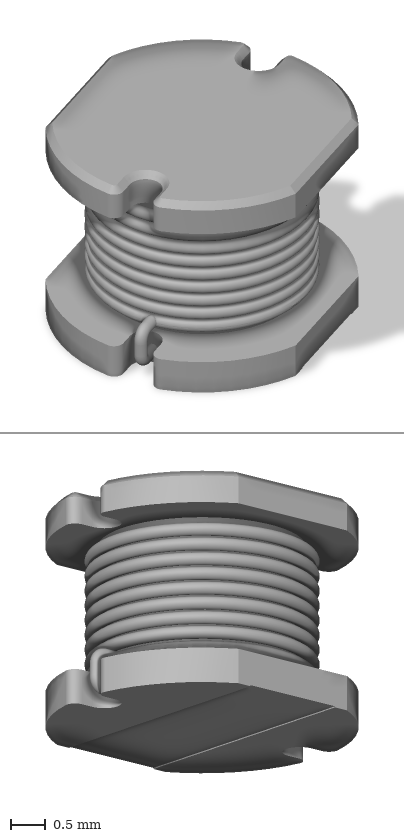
import cadquery as cq
import math

LENGTH = 4.42
WIDTH = 4.0
HEIGHT = 3.2
FLANGE_THICKNESS = 0.5
TOP_CHAMFER = 0.097
NOTCH_RADIUS = 0.248
NOTCH_CENTRE_Y = 1.848
LIP_RADIUS = 0.15

RELIEF_WIDTH = 1.6
RELIEF_DEPTH = 0.018

POST_RADIUS = 1.505
WIRE_RADIUS = 0.095
TURN_PITCH = 0.22
FREE_TURNS = 8
TERMINAL_TURN_Z = 0.725
TERMINAL_BITE = 0.005

LEAD_Y = 2.0
LEAD_BEND = 0.15
FOOT_Z = 0.215

lip_x = NOTCH_RADIUS + LIP_RADIUS
lip_y = LENGTH / 2 - LIP_RADIUS
rim_radius = LIP_RADIUS + math.hypot(lip_x, lip_y)
base_thickness = FLANGE_THICKNESS + RELIEF_DEPTH
top_flange_z = HEIGHT - FLANGE_THICKNESS
turn_radius = POST_RADIUS + WIRE_RADIUS
terminal_turn_radius = turn_radius - TERMINAL_BITE
foot_end_y = POST_RADIUS


def flange(bottom_z, thickness):
    """Plain flange with its two lipped notches, standing on bottom_z."""
    disc = cq.Workplane("XY").circle(rim_radius).extrude(thickness)
    flats = cq.Workplane("XY").rect(WIDTH, 2 * LENGTH).extrude(thickness)
    plate = disc.intersect(flats)
    for side in (1, -1):
        plate = plate.cut(notch(side, thickness))
    return plate.translate((0, 0, bottom_z))


def notch(side, depth):
    """Round-rooted notch that flares out tangentially onto the rim at the Y end given by side."""
    touch_scale = rim_radius / math.hypot(lip_x, lip_y)
    touch_x = lip_x * touch_scale
    touch_y = side * lip_y * touch_scale
    mid_angle = (math.pi + math.atan2(lip_y, lip_x)) / 2
    mid_x = lip_x + LIP_RADIUS * math.cos(mid_angle)
    mid_y = side * (lip_y + LIP_RADIUS * math.sin(mid_angle))
    wall_end_y = side * lip_y
    root_y = side * NOTCH_CENTRE_Y
    return (
        cq.Workplane("XY")
        .moveTo(touch_x, touch_y)
        .threePointArc((mid_x, mid_y), (NOTCH_RADIUS, wall_end_y))
        .lineTo(NOTCH_RADIUS, root_y)
        .threePointArc((0, root_y - side * NOTCH_RADIUS), (-NOTCH_RADIUS, root_y))
        .lineTo(-NOTCH_RADIUS, wall_end_y)
        .threePointArc((-mid_x, mid_y), (-touch_x, touch_y))
        .lineTo(-touch_x, side * LENGTH)
        .lineTo(touch_x, side * LENGTH)
        .close()
        .extrude(depth)
    )


def bobbin():
    """Two flanges on a round post, chamfered on top and relieved underneath."""
    top = flange(top_flange_z, FLANGE_THICKNESS).faces(">Z").chamfer(TOP_CHAMFER)
    relief = cq.Workplane("XY").rect(2 * WIDTH, RELIEF_WIDTH).extrude(RELIEF_DEPTH)
    bottom = flange(0, base_thickness).cut(relief)
    post = (
        cq.Workplane("XY")
        .workplane(offset=base_thickness)
        .circle(POST_RADIUS)
        .extrude(top_flange_z - base_thickness)
    )
    return bottom.union(post).union(top)


def wire_turn(centre_radius, centre_z):
    """One closed ring of wire around the post."""
    ring = cq.Solid.makeTorus(centre_radius, WIRE_RADIUS)
    return cq.Workplane("XY").add(ring.translate(cq.Vector(0, 0, centre_z)))


def lead():
    """Lead at the +Y end, from the terminal turn down to its foot in the lower flange."""
    corner = LEAD_BEND * (1 - math.sqrt(0.5))
    bend_y = LEAD_Y - LEAD_BEND
    path = (
        cq.Workplane("YZ")
        .moveTo(terminal_turn_radius, TERMINAL_TURN_Z)
        .lineTo(bend_y, TERMINAL_TURN_Z)
        .threePointArc((LEAD_Y - corner, TERMINAL_TURN_Z - corner), (LEAD_Y, TERMINAL_TURN_Z - LEAD_BEND))
        .lineTo(LEAD_Y, FOOT_Z + LEAD_BEND)
        .threePointArc((LEAD_Y - corner, FOOT_Z + corner), (bend_y, FOOT_Z))
        .lineTo(foot_end_y, FOOT_Z)
    )
    section = cq.Workplane("XZ", origin=(0, terminal_turn_radius, TERMINAL_TURN_Z)).circle(WIRE_RADIUS)
    return section.sweep(path)


def wired_core():
    """Bobbin joined to the lowest turn and the two leads anchored in its lower flange."""
    body = bobbin().union(wire_turn(terminal_turn_radius, TERMINAL_TURN_Z))
    body = body.union(lead())
    return body.union(lead().mirror("XZ"))


core = wired_core()

turns = [
    wire_turn(turn_radius, TERMINAL_TURN_Z + TURN_PITCH * level)
    for level in range(1, FREE_TURNS + 1)
]

result = cq.Compound.makeCompound([core.val(), *[turn.val() for turn in turns]])